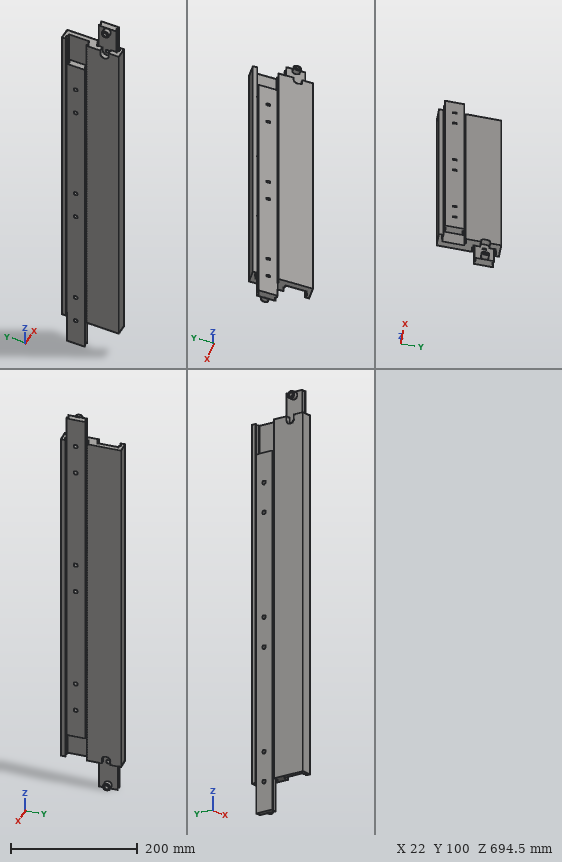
import cadquery as cq

total_height = 694.5
total_thickness = 22.0

housing_width = 100.0
housing_thickness = 19.5
housing_bottom = -295.0
housing_height = 600.0
channel_offset = housing_width / 4
channel_width = 35.5
channel_depth = 11.0

rail_width = 31.0
rail_thickness = 10.5
rail_length = 600.0

race_radius = 3.1
race_inset = 6.0
race_spread = (rail_width + channel_width) / 4

hole_diameter = 6.0
hole_end_distance = 50.0
hole_pair_spacing = 50.0
hole_pair_count = 3

stud_radius = 6.0
stud_length = 8.0
stud_end_distance = 7.0
stud_chamfer = 1.0
stud_bore_diameter = 7.0

notch_width = 14.5
notch_depth = 14.0

rail_face = total_thickness / 2
housing_face = housing_thickness / 2
race_x = rail_face - race_inset
housing_top = housing_bottom + housing_height


def block(x_min, x_max, y_center, width, z_min, z_max):
    """Upright box between two X planes and two Z planes."""
    size = (x_max - x_min, width, z_max - z_min)
    corner = (x_min, y_center - width / 2, z_min)
    return cq.Workplane("XY").box(*size, centered=False).translate(corner)


def x_cylinder(x_start, y, z, radius, length):
    """Cylinder along +X, starting at x_start."""
    return cq.Workplane("YZ", origin=(x_start, y, z)).circle(radius).extrude(length)


def races(side, z_min, z_max):
    """Pair of raceway cylinders for the rail on the given X side (-1 or 1)."""
    centers = [
        (side * race_x, -side * channel_offset + edge * race_spread)
        for edge in (-1, 1)
    ]
    return (
        cq.Workplane("XY", origin=(0, 0, z_min))
        .pushPoints(centers)
        .circle(race_radius)
        .extrude(z_max - z_min)
    )


def cut_stud_notch(body, side):
    """Cut the notch at the end where the rail on this side sticks out."""
    y = -side * channel_offset
    end = housing_top if side > 0 else housing_bottom
    arc_center = end - side * (notch_depth - notch_width / 2)
    x_min = min(0, -side * housing_face)
    z_min, z_max = sorted((end, arc_center))
    body = body.cut(block(x_min, x_min + housing_face, y, notch_width, z_min, z_max))
    return body.cut(x_cylinder(x_min, y, arc_center, notch_width / 2, housing_face))


def make_housing():
    body = block(-housing_face, housing_face, 0, housing_width, housing_bottom, housing_top)
    for side in (-1, 1):
        x_min, x_max = sorted((side * housing_face, side * (housing_face - channel_depth)))
        y = -side * channel_offset
        body = body.cut(block(x_min, x_max, y, channel_width, housing_bottom, housing_top))
        body = body.cut(races(side, housing_bottom, housing_top))
        body = cut_stud_notch(body, side)
    return body


def make_rail(side):
    """Rail in the -X channel (side -1, low) or the +X channel (side 1, high)."""
    y = -side * channel_offset
    outer_end = side * total_height / 2
    inner_end = outer_end - side * rail_length
    z_min, z_max = sorted((outer_end, inner_end))
    rail_back = side * (rail_face - rail_thickness)
    x_min, x_max = sorted((side * rail_face, rail_back))
    body = block(x_min, x_max, y, rail_width, z_min, z_max)
    body = body.cut(races(side, z_min, z_max))

    pair_pitch = (rail_length - 2 * hole_end_distance - hole_pair_spacing) / (hole_pair_count - 1)
    for pair in range(hole_pair_count):
        for step in range(2):
            z = z_min + hole_end_distance + pair * pair_pitch + step * hole_pair_spacing
            body = body.cut(x_cylinder(x_min, y, z, hole_diameter / 2, rail_thickness))

    stud_z = outer_end - side * stud_end_distance
    stud_x = min(rail_back, rail_back - side * stud_length)
    stud = x_cylinder(stud_x, y, stud_z, stud_radius, stud_length)
    stud = stud.faces("<X" if side > 0 else ">X").chamfer(stud_chamfer)
    body = body.union(stud)
    return body.cut(x_cylinder(stud_x, y, stud_z, stud_bore_diameter / 2, stud_length))


housing = make_housing()
rails = [make_rail(side) for side in (-1, 1)]

result = cq.Compound.makeCompound([housing.val(), *[rail.val() for rail in rails]])